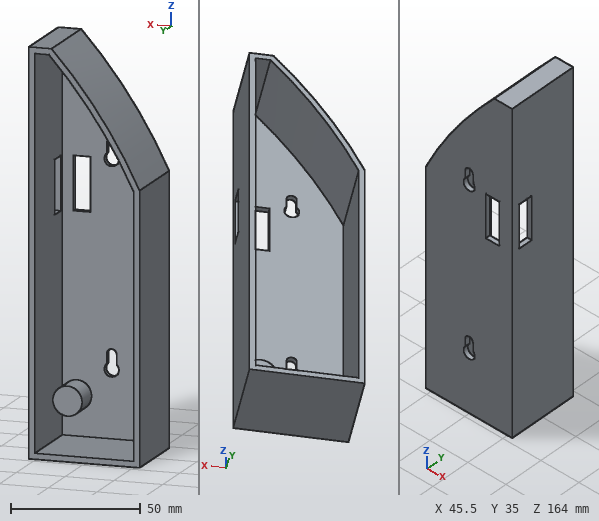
import cadquery as cq

width = 45.5
depth = 35.0
height = 164.0
wall = 2.5

shoulder_start = 110.4
top_flat = 9.3
shoulder_radius = 213.2

keyhole_x = 22.8
keyhole_heights = (30.0, 113.8)
keyhole_head_diameter = 5.9
keyhole_neck_diameter = 4.1
keyhole_travel = 6.0

slot_width = 7.0
slot_height = 22.0
slot_bottom = 92.0
slot_side_margin = 6.9
window_back = 11.2

post_diameter = 12.0
post_x = width - wall - post_diameter / 2
post_z = 18.9
post_end = 13.6


def front_sketch(y):
    """Workplane at depth y whose local axes are X and Z; extruding by a negative length goes to +Y."""
    return cq.Workplane("XZ", origin=(0, y, 0))


def outline(y):
    """Closed X-Z outline of the housing at depth y."""
    return (
        front_sketch(y)
        .lineTo(width, 0)
        .lineTo(width, height)
        .lineTo(width - top_flat, height)
        .radiusArc((0, shoulder_start), -shoulder_radius)
        .close()
    )


def rod(diameter, x, z, start, end):
    """Round bar along Y between two depths."""
    return front_sketch(start).center(x, z).circle(diameter / 2).extrude(start - end)


def keyhole(z):
    """Cutter for one keyhole whose wide entry is centred at height z."""
    head = rod(keyhole_head_diameter, keyhole_x, z, 0, wall)
    neck_end = rod(keyhole_neck_diameter, keyhole_x, z + keyhole_travel, 0, wall)
    neck = (
        front_sketch(0)
        .center(keyhole_x, z + keyhole_travel / 2)
        .rect(keyhole_neck_diameter, keyhole_travel)
        .extrude(-wall)
    )
    return head.union(neck).union(neck_end)


body = outline(0).extrude(-depth)
cavity = outline(wall).offset2D(-wall).extrude(-(depth - wall))
housing = body.cut(cavity)

for keyhole_z in keyhole_heights:
    housing = housing.cut(keyhole(keyhole_z))

slot = cq.Workplane().box(slot_width, wall, slot_height, centered=False)
housing = housing.cut(slot.translate((width - slot_side_margin - slot_width, 0, slot_bottom)))

window = cq.Workplane().box(wall, slot_width, slot_height, centered=False)
housing = housing.cut(window.translate((width - wall, window_back - slot_width, slot_bottom)))

post = rod(post_diameter, post_x, post_z, wall, post_end)
result = housing.union(post)